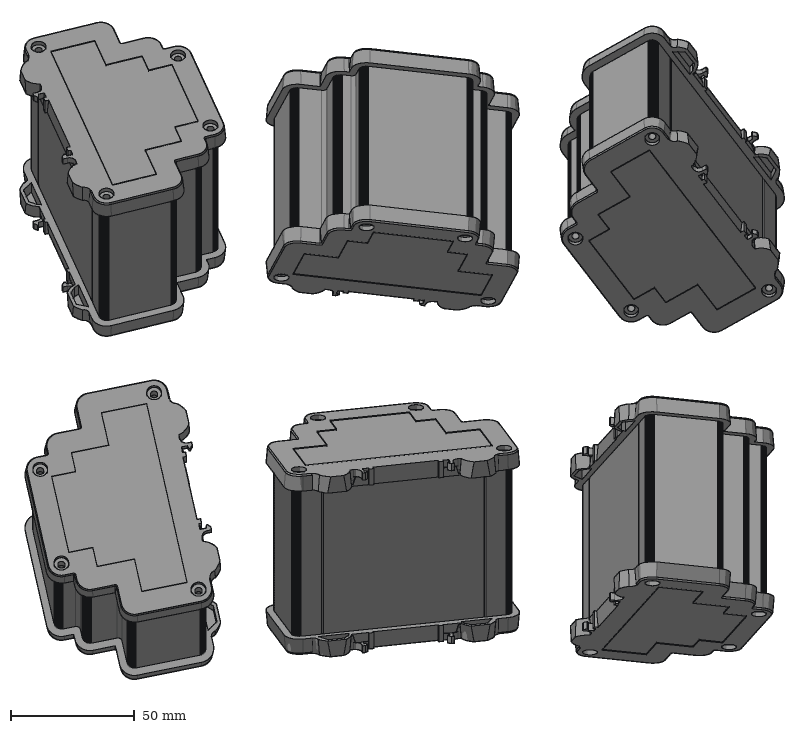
import cadquery as cq
import math

width = 98.33
depth = 69.01
height = 78.3
cap_height = 7.0
body_height = height - 2 * cap_height
inner_z = body_height / 2
outer_z = height / 2

tiers = [(width / 2, 43.7), (35.0, 59.1), (26.7, depth)]
outline_bottom = 4.85
cap_corner_radius = 6.2
body_inset = 3.1
body_corner_radius = cap_corner_radius - body_inset
body_step_fillet = 1.7
label_inset = 10.1

draft_angle = 5.0
draft_slope = math.tan(math.radians(draft_angle))
rim_inset = 0.35
rim_height = 0.7

screw_diameter = 2.9
head_diameter = 6.0
head_depth = 2.0
screw_points = [
    (side * (half_width - cap_corner_radius), y)
    for side in (-1, 1)
    for half_width, y in (
        (tiers[0][0], outline_bottom + cap_corner_radius),
        (tiers[-1][0], depth - cap_corner_radius),
    )
]

serrations = 8
serration_depth = 0.25
groove_x = 34.0
groove_width = 0.8
groove_depth = 0.4

recess_depth = 0.9
label_thickness = 0.5

foot_left, foot_right = -34.0, -26.1
foot_start_x = -39.9
foot_fillet_middle = (-37.9, 4.3)
foot_bend = (-37.2, 2.8)
foot_inner_x = -22.7
foot_back = 9.0
overhang_x = 2.0
overhang_y = 1.0
pocket_points = [(-36.3, 5.7), (-23.5, 5.7), (-24.3, 3.8), (-26.6, 1.4), (-33.4, 1.4)]
pocket_depth = 5.5

wall_y = 4.5
wall_notch_y = 5.05
wall_left = foot_inner_x - 1.0
wall_slope_top_x, wall_slope_bottom_x = -21.1, -22.1
wall_slope_height = 3.2
lug_left, lug_right = -15.6, -13.6
lug_y = 3.9
hook_height = 3.1
hook_fillet = 2.7
hook_outer_x, hook_inner_x, hook_tip_x = -19.2, -18.0, -16.7
hook_bottom, hook_tip_bottom, hook_tip_top, hook_shoulder = 0.6, 1.7, 2.2, 2.7


def prism(points, bottom_z, prism_height):
    return cq.Workplane("XY").workplane(offset=bottom_z).polyline(points).close().extrude(prism_height)


def stepped_points(inset):
    """Corners of the stepped outline moved inwards, counter-clockwise, with a convex flag each."""
    right = [(tiers[0][0] - inset, outline_bottom + inset, True)]
    for index, (half_width, top) in enumerate(tiers):
        right.append((half_width - inset, top - inset, True))
        if index + 1 < len(tiers):
            right.append((tiers[index + 1][0] - inset, top - inset, False))
    left = [(-x, y, convex) for x, y, convex in reversed(right)]
    return right + left


def stepped_block(inset, bottom_z, block_height):
    """Sharp-cornered prism of the stepped outline."""
    return prism([(x, y) for x, y, _ in stepped_points(inset)], bottom_z, block_height)


def corner_edges(block, inset, convex):
    """Vertical edges of a stepped block at its convex or its concave corners."""
    tolerance = 0.01
    spots = [(x, y) for x, y, is_convex in stepped_points(inset) if is_convex == convex]

    def at_spot(edge):
        centre = edge.Center()
        return any(math.hypot(centre.x - x, centre.y - y) < tolerance for x, y in spots)

    return block.edges("|Z").filter(at_spot)


def box(x_range, y_range, z_range):
    lows, highs = zip(x_range, y_range, z_range)
    sizes = [high - low for low, high in zip(lows, highs)]
    return cq.Workplane("XY").box(*sizes, centered=False).translate(lows)


def both_sides(shape):
    return shape.union(shape.mirror("YZ"))


def screw_cylinders(diameter, bottom_z, length):
    plane = cq.Workplane("XY").workplane(offset=bottom_z)
    return plane.pushPoints(screw_points).circle(diameter / 2).extrude(length)


def make_serrations():
    """V-shaped notches along the rounded convex corners of the body."""
    notches = []
    half_pitch = math.pi / 4 / serrations
    mouth_radius = body_corner_radius / math.cos(half_pitch)
    for x, y, convex in stepped_points(body_inset):
        if not convex:
            continue
        side_x = math.copysign(1, x)
        side_y = 1 if y > outline_bottom + body_inset else -1
        centre_x = x - side_x * body_corner_radius
        centre_y = y - side_y * body_corner_radius
        start = math.atan2(side_y, side_x) - math.pi / 4
        for index in range(serrations):
            middle = start + (2 * index + 1) * half_pitch
            notch = [
                (centre_x + radius * math.cos(angle), centre_y + radius * math.sin(angle))
                for radius, angle in (
                    (body_corner_radius, middle - half_pitch),
                    (body_corner_radius - serration_depth, middle),
                    (body_corner_radius, middle + half_pitch),
                    (mouth_radius, middle),
                )
            ]
            notches.append(prism(notch, -inner_z, body_height))
    return notches


def make_body():
    body = stepped_block(body_inset, -inner_z, body_height)
    body = corner_edges(body, body_inset, False).fillet(body_step_fillet)
    body = corner_edges(body, body_inset, True).fillet(body_corner_radius)
    for notch in make_serrations():
        body = body.cut(notch)
    front = outline_bottom + body_inset
    groove = [
        (groove_x - groove_width / 2, front),
        (groove_x + groove_width / 2, front),
        (groove_x, front + groove_depth),
    ]
    body = body.cut(both_sides(prism(groove, -inner_z, body_height)))
    return body.cut(screw_cylinders(screw_diameter, -inner_z, body_height))


def make_cap_plate():
    """Drafted stepped plate with rounded corners and a chamfered rim."""
    straight = corner_edges(stepped_block(0, inner_z, cap_height), 0, True).fillet(cap_corner_radius)
    outline = straight.faces("<Z").wires().val()
    base = cq.Workplane("XY").workplane(offset=inner_z).newObject([outline]).toPending()
    plate = base.extrude(cap_height, taper=draft_angle)
    return plate.faces(">Z").edges().chamfer(rim_height, rim_inset)


def make_foot():
    """Left rail foot, drafted at its flanks and flat at its front."""
    foot = (
        cq.Workplane("XY").workplane(offset=inner_z)
        .moveTo(foot_start_x, foot_back)
        .lineTo(foot_start_x, outline_bottom)
        .threePointArc(foot_fillet_middle, foot_bend)
        .threePointArc((foot_left, 0), (foot_left + overhang_x, -overhang_y))
        .lineTo(foot_right - overhang_x, -overhang_y)
        .threePointArc((foot_right, 0), (foot_inner_x, outline_bottom))
        .lineTo(foot_inner_x, foot_back)
        .close()
        .extrude(cap_height, taper=draft_angle)
    )
    front = box((-width, width), (-depth, 0), (inner_z, outer_z))
    return foot.cut(front)


def make_hook():
    """Left snap hook, at the outer end of the cap."""
    return (
        cq.Workplane("XY").workplane(offset=outer_z - hook_height)
        .moveTo(foot_inner_x, foot_back)
        .lineTo(foot_inner_x, wall_notch_y)
        .lineTo(hook_outer_x - hook_fillet, wall_notch_y)
        .radiusArc((hook_outer_x, wall_notch_y - hook_fillet), hook_fillet)
        .lineTo(hook_outer_x, hook_bottom)
        .lineTo(hook_inner_x, hook_bottom)
        .lineTo(hook_tip_x, hook_tip_bottom)
        .lineTo(hook_tip_x, hook_tip_top)
        .lineTo(hook_inner_x, hook_shoulder)
        .lineTo(hook_inner_x, foot_back)
        .close()
        .extrude(hook_height)
    )


def make_front_wall():
    """Left half of the front wall details: wall, lug and hook."""
    shoulder_z = outer_z - hook_height
    wall_outline = [
        (lug_right, inner_z),
        (wall_left, inner_z),
        (wall_left, shoulder_z - wall_slope_height),
        (wall_slope_bottom_x, shoulder_z - wall_slope_height),
        (wall_slope_top_x, shoulder_z),
        (lug_right, shoulder_z),
    ]
    wall = cq.Workplane("XZ", origin=(0, foot_back, 0)).polyline(wall_outline).close()
    wall = wall.extrude(foot_back - wall_y)
    notch_wall = box((wall_left, lug_right), (wall_notch_y, foot_back), (inner_z, outer_z))
    lug = box((lug_left, lug_right), (lug_y, foot_back), (inner_z, outer_z))
    return wall.union(notch_wall).union(lug).union(make_hook())


def make_cap():
    cap = make_cap_plate()
    middle = [
        (outline_bottom, inner_z),
        (foot_back, inner_z),
        (foot_back, outer_z),
        (outline_bottom + cap_height * draft_slope, outer_z),
    ]
    cap = cap.union(cq.Workplane("YZ").polyline(middle).close().extrude(-lug_right, both=True))
    cap = cap.union(both_sides(make_foot().union(make_front_wall())))
    pocket = prism(pocket_points, inner_z, pocket_depth)
    cap = cap.cut(both_sides(pocket))
    cap = cap.cut(screw_cylinders(screw_diameter, inner_z, cap_height))
    cap = cap.cut(screw_cylinders(head_diameter, outer_z - head_depth, head_depth))
    return cap.cut(stepped_block(label_inset, outer_z - recess_depth, recess_depth))


def make_label():
    return stepped_block(label_inset, outer_z - recess_depth, label_thickness)


body = make_body()
top_cap = make_cap()
top_label = make_label()
ends = [top_cap, top_cap.mirror("XY"), top_label, top_label.mirror("XY")]
result = cq.Compound.makeCompound([body.val()] + [end.val() for end in ends])